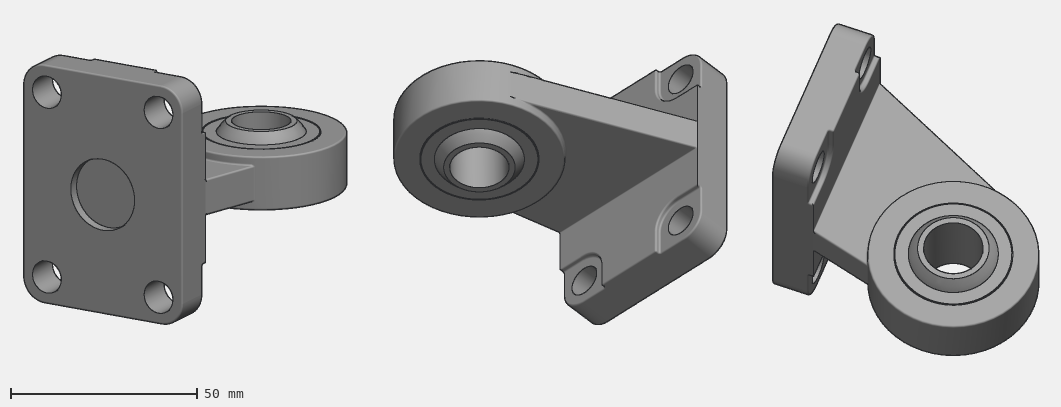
import cadquery as cq
import math


flange_width = 50.0
flange_height = 67.0
flange_thickness = 12.0
flange_corner_radius = 6.7
edge_round = 0.5

hole_diameter = 9.0
hole_inset = 7.5
seat_depth = 1.5

recess_diameter = 20.0
recess_depth = 3.0

eye_x = 44.5
eye_y = 50.0
eye_radius = 23.0
eye_thickness = 15.05
arm_thickness = 10.0
foot_round = 0.3
arm_lean = 15.4

race_radius = 16.0
race_chamfer = 0.3
ball_radius = 14.2
ball_width = 21.0
ball_bore_radius = 7.95

flange_center_x = flange_width / 2
seat_floor_y = flange_thickness - seat_depth
hole_places = [
    (x, z)
    for x in (hole_inset, flange_width - hole_inset)
    for z in (hole_inset - flange_height / 2, flange_height / 2 - hole_inset)
]
tolerance = 0.01


def eye_cylinder(radius, thickness):
    """Cylinder on the eye axis, centred on Z = 0."""
    return (
        cq.Workplane("XY", origin=(eye_x, eye_y, -thickness / 2))
        .circle(radius)
        .extrude(thickness)
    )


def flange_cylinder(x, z, radius, length):
    """Cylinder that rises from the mounting face along +Y."""
    return (
        cq.Workplane("XZ", origin=(x, 0, z))
        .circle(radius)
        .extrude(-length)
    )


def seat_cutter(x, z):
    """Block that lowers one flange corner; it is rounded about the hole and along its floor."""
    side_x = math.copysign(1, x - flange_center_x)
    side_z = math.copysign(1, z)
    size = 4 * hole_inset
    height = 2 * seat_depth
    shift = size / 2 - hole_inset
    return (
        cq.Workplane("XY")
        .box(size, height, size)
        .edges("|Y")
        .fillet(hole_inset)
        .faces("<Y")
        .edges()
        .fillet(edge_round)
        .translate((x + side_x * shift, seat_floor_y + height / 2, z + side_z * shift))
    )


def is_on_flange_side(point):
    """True where the point lies on the rounded-rectangle outline of the flange."""
    past_x = max(abs(point.x - flange_center_x) - flange_width / 2 + flange_corner_radius, 0)
    past_z = max(abs(point.z) - flange_height / 2 + flange_corner_radius, 0)
    return math.hypot(past_x, past_z) > flange_corner_radius - tolerance


def make_flange():
    flange = (
        cq.Workplane("XY")
        .box(flange_width, flange_thickness, flange_height)
        .translate((flange_center_x, flange_thickness / 2, 0))
        .edges("|Y")
        .fillet(flange_corner_radius)
    )
    for x, z in hole_places:
        flange = flange.cut(seat_cutter(x, z))

    rounded_edges = flange.faces("<Y").edges().vals()
    rounded_edges += flange.faces(">Y").edges("not(<X or >X)").vals()
    for edge in flange.edges().vals():
        middle = edge.positionAt(0.5)
        beside_seat = seat_floor_y - tolerance < middle.y < flange_thickness - tolerance
        if beside_seat and is_on_flange_side(middle):
            rounded_edges.append(edge)
    return flange.newObject([flange.val().fillet(edge_round, rounded_edges)])


def make_arm():
    """Plate from the full flange width to the eye; its long side is tangent to the eye."""
    foot_to_eye = math.hypot(eye_x, eye_y - flange_thickness)
    long_side_angle = math.atan2(eye_y - flange_thickness, eye_x) + math.asin(eye_radius / foot_to_eye)
    tangent_x = eye_x - eye_radius * math.sin(long_side_angle)
    tangent_y = eye_y + eye_radius * math.cos(long_side_angle)
    short_side_x = flange_width + (eye_y - flange_thickness) * math.tan(math.radians(arm_lean))
    arm = (
        cq.Workplane("XY", origin=(0, 0, -arm_thickness / 2))
        .moveTo(0, flange_thickness)
        .lineTo(flange_width, flange_thickness)
        .lineTo(short_side_x, eye_y)
        .lineTo(eye_x, eye_y)
        .lineTo(tangent_x, tangent_y)
        .close()
        .extrude(arm_thickness)
    )
    long_side = cq.selectors.NearestToPointSelector((tangent_x / 2, (flange_thickness + tangent_y) / 2, 0))
    short_side = cq.selectors.NearestToPointSelector((short_side_x, (flange_thickness + eye_y) / 2, 0))
    return arm.faces(long_side + short_side).edges("not |Z").fillet(edge_round)


def round_eye_junction(bracket):
    """Round the inside corner where the two flat faces of the arm run into the eye."""
    arcs = [
        edge
        for edge in bracket.faces("|Z").edges("%CIRCLE").vals()
        if abs(edge.radius() - eye_radius) < tolerance
    ]
    return bracket.newObject([bracket.val().fillet(edge_round, arcs)])


def round_arm_foot(housing):
    """Round the inside corner where the two flat faces of the arm stand on the flange."""
    foot_lines = [
        edge
        for edge in housing.edges("|X").vals()
        if abs(abs(edge.Center().z) - arm_thickness / 2) < tolerance
    ]
    return housing.newObject([housing.val().fillet(foot_round, foot_lines)])


def make_housing():
    eye = eye_cylinder(eye_radius, eye_thickness).edges().fillet(edge_round)
    bracket = round_eye_junction(make_arm().union(eye))
    housing = round_arm_foot(bracket.union(make_flange()))
    housing = housing.cut(eye_cylinder(race_radius, eye_thickness))
    for x, z in hole_places:
        housing = housing.cut(flange_cylinder(x, z, hole_diameter / 2, flange_thickness))
    return housing.cut(flange_cylinder(flange_center_x, 0, recess_diameter / 2, recess_depth))


def make_ball_envelope():
    """Sphere centred in the eye."""
    return cq.Workplane("XY", origin=(eye_x, eye_y, 0)).sphere(ball_radius)


def make_race():
    return (
        eye_cylinder(race_radius, eye_thickness)
        .edges()
        .chamfer(race_chamfer)
        .cut(make_ball_envelope())
    )


def make_ball():
    return (
        make_ball_envelope()
        .intersect(eye_cylinder(ball_radius, ball_width))
        .cut(eye_cylinder(ball_bore_radius, ball_width))
    )


housing = make_housing()
race = make_race()
ball = make_ball()

result = cq.Compound.makeCompound([housing.val(), race.val(), ball.val()])